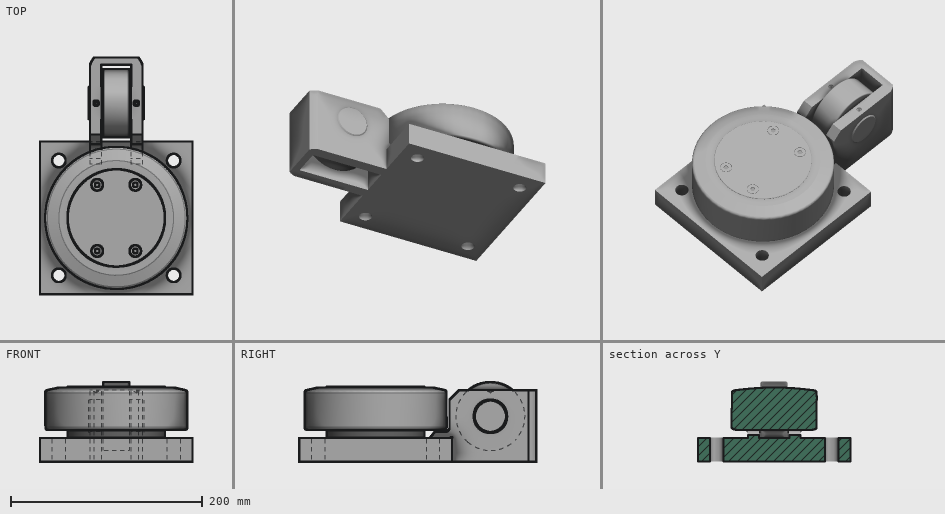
import cadquery as cq
import math

plate_side = 160.0
plate_thickness = 25.0
mount_hole_dia = 14.0
mount_hole_offset = 60.0

hub_dia = 102.5
hub_top = 78.5
hub_chamfer = 0.5
wheel_dia = 148.8
wheel_bottom = 33.2
wheel_top = 77.9
wheel_flat_dia = 120.0
wheel_cone_angle = 13
wheel_edge_radius = 3.0

screw_circle_radius = 40.0
screw_angles = (60, 120, 240, 300)
screw_recess_dia = 12.5
screw_head_dia = 11.7
screw_recess_depth = 1.0
screw_socket_dia = 5
screw_socket_depth = 1.0

total_length = 248
fork_width = 55.0
fork_slot_width = 31.0
fork_height = 75.0
fork_back_wall = 8.0
fork_corner_inset = 4.5
fork_corner_length = 8.0
fork_corner_radius = 24.8
fork_front = 77.1
fork_top_chamfer = 10
foot_top = 31.5
foot_tip = 56.5
foot_slope_run = 5.5
foot_inner_radius = 4.2
relief_radius = 0.7

overall_height = 83.5
side_roller_dia = 72
side_roller_width = 28.0
side_roller_edge_radius = 1.5
pin_dia = 35.2
pin_chamfer = 1.2
pin_y = 120.0

set_hole_dia = 5
set_hole_mouth_dia = 6.0
set_hole_depth = 1.2
set_dimple_dia = 3.5
set_hole_offset = 21.0

plate_back = plate_side / 2
fork_back = total_length - plate_side / 2
pin_length = fork_width + 2 * pin_chamfer
pin_z = overall_height - side_roller_dia / 2


def make_plate():
    """Square plate with four through holes."""
    spacing = 2 * mount_hole_offset
    plate = cq.Workplane("XY").box(plate_side, plate_side, plate_thickness, centered=(True, True, False))
    holes = plate.faces(">Z").workplane().rect(spacing, spacing, forConstruction=True).vertices()
    return holes.hole(mount_hole_dia)


def make_hub():
    """Chamfered neck between plate and roller, and the hub cap that rises through the roller."""
    neck = cq.Workplane("XY", origin=(0, 0, plate_thickness)).circle(hub_dia / 2)
    neck = neck.extrude(wheel_bottom - plate_thickness).edges().chamfer(hub_chamfer)
    cap = cq.Workplane("XY", origin=(0, 0, wheel_bottom)).circle(hub_dia / 2)
    cap = cap.extrude(hub_top - wheel_bottom).faces(">Z").chamfer(hub_chamfer)
    return neck.union(cap)


def make_wheel():
    """Main roller with a coned top and rounded rim edges."""
    radius = wheel_dia / 2
    flat_radius = wheel_flat_dia / 2
    rim_top = wheel_top - (radius - flat_radius) * math.tan(math.radians(wheel_cone_angle))
    profile = [
        (0, wheel_bottom),
        (radius, wheel_bottom),
        (radius, rim_top),
        (flat_radius, wheel_top),
        (0, wheel_top),
    ]
    wheel = cq.Workplane("XZ").polyline(profile).close().revolve(360, (0, 0), (0, 1))
    rim_edges = cq.selectors.RadiusNthSelector(-1)
    return wheel.edges("%CIRCLE").edges(rim_edges).fillet(wheel_edge_radius)


def cut_cap_screws(body):
    """Ring gap around each flush screw head and a round socket in its middle."""
    for angle in screw_angles:
        x = screw_circle_radius * math.cos(math.radians(angle))
        y = screw_circle_radius * math.sin(math.radians(angle))
        face = cq.Workplane("XY", origin=(x, y, hub_top))
        gap = face.circle(screw_recess_dia / 2).circle(screw_head_dia / 2).extrude(-screw_recess_depth)
        socket = face.circle(screw_socket_dia / 2).extrude(-screw_socket_depth)
        body = body.cut(gap).cut(socket)
    return body


def make_fork():
    """Two arms joined by a back wall, with feet that rest on the plate."""
    side = (
        cq.Workplane("YZ", origin=(-fork_width / 2, 0, 0))
        .moveTo(fork_back, 0)
        .lineTo(fork_back, fork_height)
        .lineTo(fork_front + fork_top_chamfer, fork_height)
        .lineTo(fork_front, fork_height - fork_top_chamfer)
        .lineTo(fork_front, foot_top + foot_inner_radius)
        .radiusArc((fork_front - foot_inner_radius, foot_top), foot_inner_radius)
        .lineTo(foot_tip + foot_slope_run, foot_top)
        .lineTo(foot_tip, plate_thickness)
        .lineTo(plate_back - 2 * relief_radius, plate_thickness)
        .radiusArc((plate_back, plate_thickness), relief_radius)
        .lineTo(plate_back, 0)
        .close()
        .extrude(fork_width)
    )
    half_width = fork_width / 2
    half_back = half_width - fork_corner_inset
    corner_start = fork_back - fork_corner_length
    plan = (
        cq.Workplane("XY")
        .moveTo(-half_width, 0)
        .lineTo(-half_width, corner_start)
        .radiusArc((-half_back, fork_back), fork_corner_radius)
        .lineTo(half_back, fork_back)
        .radiusArc((half_width, corner_start), fork_corner_radius)
        .lineTo(half_width, 0)
        .close()
        .extrude(fork_height)
    )
    fork = side.intersect(plan)
    slot_end = fork_back - fork_back_wall
    slot = cq.Workplane("XY").box(fork_slot_width, slot_end, fork_height, centered=(True, False, False))
    return fork.cut(slot)


def cut_set_holes(fork):
    """Blind holes with a chamfered mouth and a 90 degree conical dimple in the floor."""
    hole_radius = set_hole_dia / 2
    mouth_radius = set_hole_mouth_dia / 2
    dimple_radius = set_dimple_dia / 2
    mouth_depth = mouth_radius - hole_radius
    profile = [
        (0, 0),
        (mouth_radius, 0),
        (hole_radius, -mouth_depth),
        (hole_radius, -set_hole_depth),
        (dimple_radius, -set_hole_depth),
        (0, -set_hole_depth - dimple_radius),
    ]
    for x in (-set_hole_offset, set_hole_offset):
        mouth = cq.Workplane("XZ", origin=(x, pin_y, fork_height))
        fork = fork.cut(mouth.polyline(profile).close().revolve(360, (0, 0), (0, 1)))
    return fork


def cross_cylinder(diameter, length):
    """Cylinder along X, centred on the pin axis."""
    axis_plane = cq.Workplane("YZ", origin=(0, pin_y, pin_z))
    return axis_plane.circle(diameter / 2).extrude(length / 2, both=True)


side_roller = cross_cylinder(side_roller_dia, side_roller_width)
side_roller = side_roller.faces("<X or >X").edges().fillet(side_roller_edge_radius)
pin = cross_cylinder(pin_dia, pin_length).faces("<X or >X").chamfer(pin_chamfer)

main_roller = cut_cap_screws(make_hub().union(make_wheel()))
fork_assembly = cut_set_holes(make_fork()).union(pin).union(side_roller)
result = make_plate().union(main_roller).union(fork_assembly)